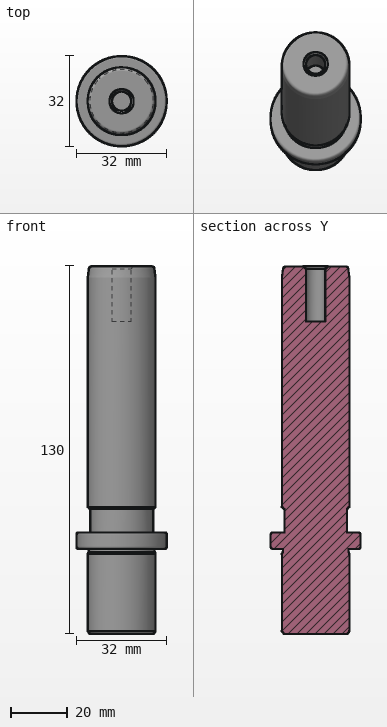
import cadquery as cq

length = 130.0
body_radius = 24.0 / 2
neck_radius = 22.4 / 2
relief_radius = 23.4 / 2
flange_radius = 32.0 / 2
tip_radius = 23.0 / 2

relief_start = 28.3
relief_top = 29.1
flange_bottom = 30.0
flange_top = 36.0
body_bottom = 44.2

tip_length = 4.0
tip_fillet = 1.0
flange_fillet = 0.9
chamfer_height = 1.0
body_chamfer_height = 0.8

hole_diameter = 6.8
countersink_diameter = 8.6
countersink_angle = 90
hole_depth = 19.5


def make_shaft():
    """Revolve the stepped half profile, in radius and height, about Z."""
    profile = [
        (0, 0),
        (neck_radius, 0),
        (body_radius, chamfer_height),
        (body_radius, relief_start),
        (relief_radius, relief_top),
        (relief_radius, flange_bottom),
        (flange_radius, flange_bottom),
        (flange_radius, flange_top),
        (neck_radius, flange_top),
        (neck_radius, body_bottom),
        (body_radius, body_bottom + body_chamfer_height),
        (body_radius, length - tip_length),
        (tip_radius, length),
        (0, length),
    ]
    return cq.Workplane("XZ").polyline(profile).close().revolve(360, (0, 0, 0), (0, 1, 0))


def round_edges(shaft):
    """Round the top rim and both outer rims of the flange."""
    shaft = shaft.faces(">Z").edges().fillet(tip_fillet)
    flange_rims = cq.selectors.RadiusNthSelector(-1)
    return shaft.edges(flange_rims).fillet(flange_fillet)


def cut_top_hole(shaft):
    """Sink the countersunk blind hole along the shaft axis."""
    top = shaft.faces(">Z").workplane(origin=(0, 0, length))
    return top.cskHole(hole_diameter, countersink_diameter, countersink_angle, hole_depth)


result = cut_top_hole(round_edges(make_shaft()))